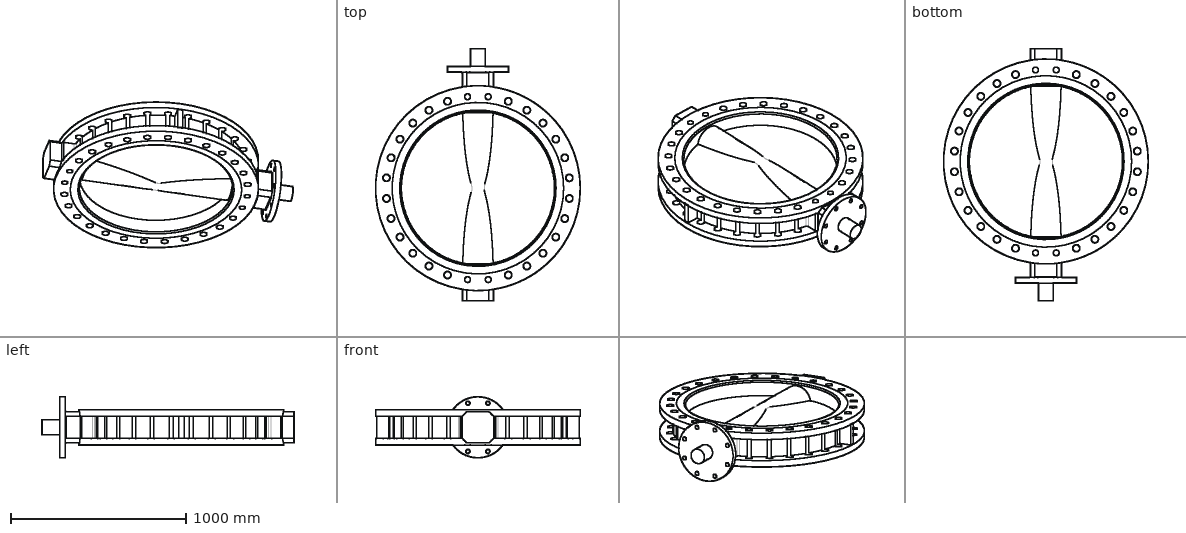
import cadquery as cq
import math


housing_height = 203.0
flange_diameter = 1170.0
flange_thickness = 39.0
drum_radius = 510.0
flange_gap = housing_height - 2 * flange_thickness

bolt_count = 28
bolt_circle_radius = 525.0
bolt_step = 360 / bolt_count
through_hole_diameter = 39.0
tapped_hole_diameter = 33.0
tapped_hole_depth = 50.0
drill_point_angle = 118

rib_thickness = 30.0
rib_reach = 578.0

pad_width = 205.0
pad_reach = 577.0
pad_chamfer = 9.0
pad_root_fillet = 13.0

neck_width = 178.0
neck_chamfer = 26.0
bottom_neck_end = -643.0
top_neck_end = 662.0

neck_blend = 5.0

plate_diameter = 350.0
plate_thickness = 33.0
plate_bolt_count = 8
plate_bolt_circle_diameter = 298.0
plate_hole_diameter = 22.0

liner_outer_radius = 489.0
liner_bore_radius = 437.0
liner_chamfer = 9.0

disc_rim_half_thickness = 13.0
disc_apex_height = 86.0
hub_radius = 88.0
hub_half_length = 430.0

shaft_radius = 43.0
shaft_inner_end = 216.0
drive_shaft_end = 796.0
bearing_shaft_end = -561.0


def cylinder_along_y(radius, start, end):
    """Solid cylinder about the Y axis between two Y positions."""
    return cq.Workplane("XZ", origin=(0, start, 0)).circle(radius).extrude(start - end)


def cylinder_along_z(radius, height):
    """Solid cylinder about the Z axis, centred on the origin."""
    return cq.Workplane("XY", origin=(0, 0, -height / 2)).circle(radius).extrude(height)


def make_drive_shaft():
    """Upper shaft, from inside the disc hub out through the mounting plate."""
    return cylinder_along_y(shaft_radius, shaft_inner_end, drive_shaft_end)


def make_bearing_shaft():
    """Lower shaft, from inside the disc hub into the closed bottom neck."""
    return cylinder_along_y(shaft_radius, bearing_shaft_end, -shaft_inner_end)


def cut_shaft_holes(body):
    """Remove the space that the two shafts fill."""
    return body.cut(make_drive_shaft()).cut(make_bearing_shaft())


def make_drum_with_pads():
    """Drum between the flanges with the two neck pads blended into it."""
    drum = cylinder_along_z(drum_radius, flange_gap)
    pads = cq.Workplane("XY").box(pad_width, 2 * pad_reach, flange_gap)
    pads = pads.edges("|Z").chamfer(pad_chamfer)
    root_y = math.sqrt(drum_radius**2 - (pad_width / 2) ** 2)

    def is_pad_root(edge):
        return math.isclose(abs(edge.Center().y), root_y, abs_tol=0.1)

    return drum.union(pads).edges("|Z").filter(is_pad_root).fillet(pad_root_fillet)


def make_necks():
    """Chamfered square bar along Y whose two ends form the shaft necks."""
    length = top_neck_end - bottom_neck_end
    middle = (top_neck_end + bottom_neck_end) / 2
    bar = cq.Workplane("XY").box(neck_width, length, neck_width).edges("|Y").chamfer(neck_chamfer)
    return bar.translate((0, middle, 0))


def make_neck_blends():
    """Four small wedges between the flat sides of the top neck and the mounting plate."""
    flat_width = neck_width - 2 * neck_chamfer
    side = neck_width / 2
    wedge = (
        cq.Workplane("YZ", origin=(-flat_width / 2, 0, 0))
        .moveTo(top_neck_end - neck_blend, side)
        .lineTo(top_neck_end, side + neck_blend)
        .lineTo(top_neck_end, side)
        .close()
        .extrude(flat_width)
    )
    return [wedge.rotate((0, 0, 0), (0, 1, 0), quarter * 90) for quarter in range(4)]


def make_mounting_plate():
    """Round plate with a bolt circle."""
    plate = cylinder_along_y(plate_diameter / 2, top_neck_end, top_neck_end + plate_thickness)
    first_hole_angle = 180 / plate_bolt_count
    holes = (
        cq.Workplane("XZ", origin=(0, top_neck_end, 0))
        .polarArray(plate_bolt_circle_diameter / 2, first_hole_angle, 360, plate_bolt_count)
        .circle(plate_hole_diameter / 2)
        .extrude(-plate_thickness)
    )
    return plate.cut(holes)


def bolt_positions(beside_necks):
    """Flange bolt centres: the four beside the necks, or all the others."""
    points = []
    for index in range(bolt_count):
        angle = math.radians((index + 0.5) * bolt_step)
        x = bolt_circle_radius * math.cos(angle)
        y = bolt_circle_radius * math.sin(angle)
        if (abs(x) < neck_width / 2) == beside_necks:
            points.append((x, y))
    return points


def make_tapped_hole():
    """Blind hole with a drill point, going down from the origin."""
    radius = tapped_hole_diameter / 2
    point_depth = radius / math.tan(math.radians(drill_point_angle / 2))
    profile = [
        (0, 0),
        (radius, 0),
        (radius, -tapped_hole_depth),
        (0, -tapped_hole_depth - point_depth),
    ]
    return cq.Workplane("XZ").polyline(profile).close().revolve(360, (0, 0), (0, 1))


def make_housing():
    """Double-flanged housing with necks, mounting plate, ribs and bolt holes."""
    housing = make_drum_with_pads()
    flange_offset = (housing_height - flange_thickness) / 2
    for side in (1, -1):
        flange = cylinder_along_z(flange_diameter / 2, flange_thickness)
        housing = housing.union(flange.translate((0, 0, side * flange_offset)))
    housing = housing.union(make_necks()).union(make_mounting_plate())
    for blend in make_neck_blends():
        housing = housing.union(blend)
    housing = housing.union(cq.Workplane("XY").box(2 * rib_reach, rib_thickness, flange_gap))
    housing = housing.cut(cylinder_along_z(liner_outer_radius, housing_height))

    through_holes = (
        cq.Workplane("XY", origin=(0, 0, -housing_height / 2))
        .pushPoints(bolt_positions(beside_necks=False))
        .circle(through_hole_diameter / 2)
        .extrude(housing_height)
    )
    housing = housing.cut(through_holes)
    for x, y in bolt_positions(beside_necks=True):
        upper_hole = make_tapped_hole().translate((x, y, housing_height / 2))
        housing = housing.cut(upper_hole).cut(upper_hole.mirror("XY"))
    return cut_shaft_holes(housing)


def make_liner():
    """Seat ring with a chamfer at both ends of its bore."""
    liner = cylinder_along_z(liner_outer_radius, housing_height)
    liner = liner.cut(cylinder_along_z(liner_bore_radius, housing_height))
    liner = liner.edges(cq.selectors.RadiusNthSelector(0)).chamfer(liner_chamfer)
    return cut_shaft_holes(liner)


def make_disc():
    """Disc with a conical face on each side and a cylindrical hub along Y."""
    half_profile = [
        (0, -disc_apex_height),
        (liner_bore_radius, -disc_rim_half_thickness),
        (liner_bore_radius, disc_rim_half_thickness),
        (0, disc_apex_height),
    ]
    disc = cq.Workplane("XZ").polyline(half_profile).close().revolve(360, (0, 0), (0, 1))
    disc = disc.union(cylinder_along_y(hub_radius, -hub_half_length, hub_half_length))
    return cut_shaft_holes(disc)


housing = make_housing()
liner = make_liner()
disc = make_disc()
drive_shaft = make_drive_shaft()
bearing_shaft = make_bearing_shaft()

result = cq.Compound.makeCompound(
    [housing.val(), liner.val(), disc.val(), drive_shaft.val(), bearing_shaft.val()]
)